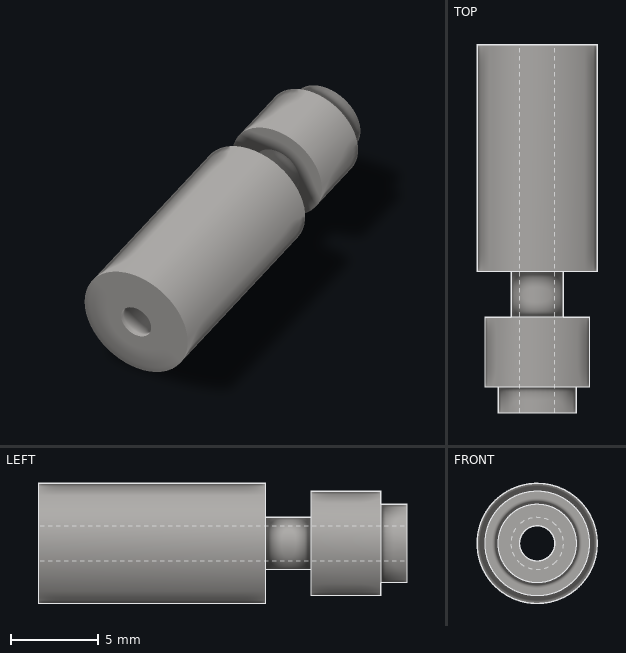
import cadquery as cq

total_length = 21.1
tip_length = 1.5
collar_length = 4.0
neck_length = 2.6
body_length = total_length - tip_length - collar_length - neck_length

tip_diameter = 4.5
collar_diameter = 6.0
neck_diameter = 3.0
body_diameter = 6.9
bore_diameter = 2.0


def cylinder_along_y(start, length, diameter):
    """Solid cylinder on the Y axis, running toward +Y from start."""
    base = cq.Workplane("XZ", origin=(0, start, 0))
    return base.circle(diameter / 2).extrude(-length)


sections = [
    (tip_length, tip_diameter),
    (collar_length, collar_diameter),
    (neck_length, neck_diameter),
    (body_length, body_diameter),
]

result = cq.Workplane("XY")
section_start = 0.0
for length, diameter in sections:
    result = result.add(cylinder_along_y(section_start, length, diameter))
    section_start += length
result = result.combine()

result = result.cut(cylinder_along_y(0, total_length, bore_diameter))